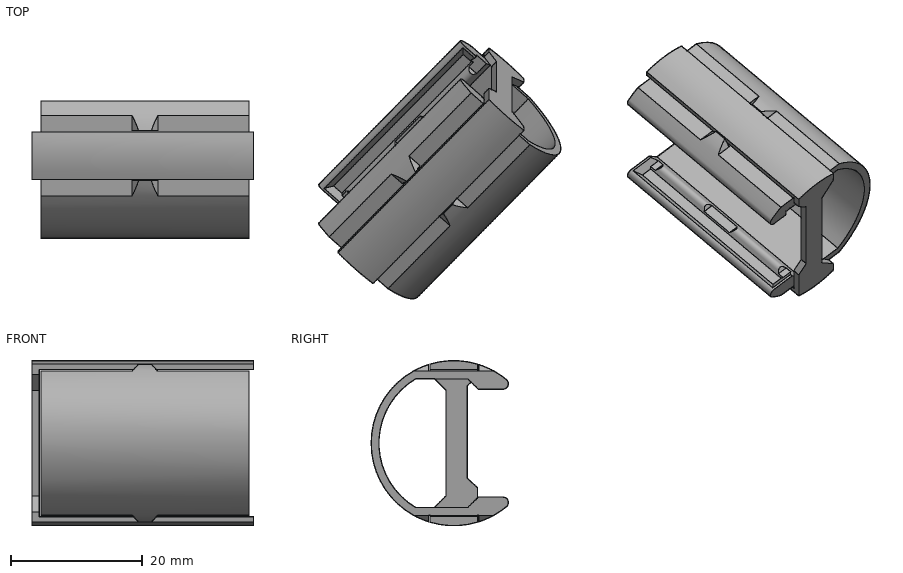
import cadquery as cq
import math

FRAME_LENGTH = 33.65
OUTER_RADIUS = 12.55

PLATE_THICKNESS = 1.1
RAIL_HALF_WIDTH = 3.65
RAIL_INNER_Z = 11.17
WEB_FRONT_Y = -1.18
WEB_BACK_Y = 2.1
FRONT_FLARE_Z = 8.0
UPPER_BACK_WEB_Z = 8.75
UPPER_BACK_RAIL_Z = 10.2
LOWER_BACK_WEB_Z = -5.35
LOWER_BACK_RAIL_Z = -6.75

SHELL_START_X = 1.35
SHELL_LENGTH = 31.63
SHELL_WALL = 1.2
FLAT_Z = 10.97
LIP_Z = 8.18
LIP_CORNER_Y = 3.75
LIP_TIP_RADIUS = 0.85

BLOCK_BASE_LENGTH = 3.95
BLOCK_INNER_Y = 3.8

GROOVE_DEPTH = 1.0
GROOVE_END_WALL = 0.37

RIDGE_ROUND = 0.8
GAP_DEPTH = 0.8
MIDDLE_GAP_FLOOR = 5.6
END_GAP_FLOOR = 1.0

NOTCH_BACK_Y = 5.0

SHELL_END_X = SHELL_START_X + SHELL_LENGTH
SHELL_MIDDLE_X = SHELL_START_X + SHELL_LENGTH / 2
INNER_RADIUS = OUTER_RADIUS - SHELL_WALL
INNER_FLAT_Z = FLAT_Z - SHELL_WALL
SLOPE_END_Y = LIP_CORNER_Y - (INNER_FLAT_Z - LIP_Z)
GROOVE_START_X = SHELL_START_X + GROOVE_END_WALL
GROOVE_END_X = SHELL_END_X - GROOVE_END_WALL
TIP_CENTRE_Z = LIP_Z + LIP_TIP_RADIUS
TIP_CENTRE_Y = math.sqrt((OUTER_RADIUS - LIP_TIP_RADIUS) ** 2 - TIP_CENTRE_Z ** 2)
CUT_MARGIN = 0.35


def across(radius, z):
    """Half width of a circle of the given radius at height z."""
    return math.sqrt(radius ** 2 - z ** 2)


def bar_along_x(outline, start_x, length):
    """Prism along X from a (Y, Z) outline."""
    return cq.Workplane("YZ", origin=(start_x, 0, 0)).polyline(outline).close().extrude(length)


def round_bar(start_x, length):
    """Solid cylinder with the common outer radius."""
    return cq.Workplane("YZ", origin=(start_x, 0, 0)).circle(OUTER_RADIUS).extrude(length)


def mirrored_in_z(body):
    return body.mirror("XY")


def make_frame():
    front_y = -RAIL_HALF_WIDTH
    back_y = RAIL_HALF_WIDTH
    front_flare_end_z = FRONT_FLARE_Z + (RAIL_HALF_WIDTH + WEB_FRONT_Y)
    plate = bar_along_x(
        [
            (front_y, OUTER_RADIUS),
            (front_y, front_flare_end_z),
            (WEB_FRONT_Y, FRONT_FLARE_Z),
            (WEB_FRONT_Y, -FRONT_FLARE_Z),
            (front_y, -front_flare_end_z),
            (front_y, -OUTER_RADIUS),
            (back_y, -OUTER_RADIUS),
            (back_y, LOWER_BACK_RAIL_Z),
            (WEB_BACK_Y, LOWER_BACK_WEB_Z),
            (WEB_BACK_Y, UPPER_BACK_WEB_Z),
            (back_y, UPPER_BACK_RAIL_Z),
            (back_y, OUTER_RADIUS),
        ],
        0,
        PLATE_THICKNESS,
    )
    rail = bar_along_x(
        [
            (front_y, RAIL_INNER_Z),
            (back_y, RAIL_INNER_Z),
            (back_y, OUTER_RADIUS),
            (front_y, OUTER_RADIUS),
        ],
        0,
        FRAME_LENGTH,
    )
    square_frame = plate.union(rail).union(mirrored_in_z(rail))
    return square_frame.intersect(round_bar(0, FRAME_LENGTH))


def make_sleeve():
    """Constant C-shaped section of the shell, still round where the rails will pass."""
    inner_y = across(INNER_RADIUS, INNER_FLAT_Z)
    tip_y = TIP_CENTRE_Y + LIP_TIP_RADIUS
    tip_scale = OUTER_RADIUS / (OUTER_RADIUS - LIP_TIP_RADIUS)
    tip_end_y = TIP_CENTRE_Y * tip_scale
    tip_end_z = TIP_CENTRE_Z * tip_scale
    return (
        cq.Workplane("YZ", origin=(SHELL_START_X, 0, 0))
        .moveTo(tip_end_y, -tip_end_z)
        .threePointArc((-OUTER_RADIUS, 0), (tip_end_y, tip_end_z))
        .threePointArc((tip_y, TIP_CENTRE_Z), (TIP_CENTRE_Y, LIP_Z))
        .lineTo(LIP_CORNER_Y, LIP_Z)
        .lineTo(SLOPE_END_Y, INNER_FLAT_Z)
        .lineTo(-inner_y, INNER_FLAT_Z)
        .threePointArc((-INNER_RADIUS, 0), (-inner_y, -INNER_FLAT_Z))
        .lineTo(SLOPE_END_Y, -INNER_FLAT_Z)
        .lineTo(LIP_CORNER_Y, -LIP_Z)
        .lineTo(TIP_CENTRE_Y, -LIP_Z)
        .threePointArc((tip_y, -TIP_CENTRE_Z), (tip_end_y, -tip_end_z))
        .close()
        .extrude(SHELL_LENGTH)
    )


def make_stop_block():
    """Upward tapering block with 45 degree ends, on the +Y side of the rail."""
    height = OUTER_RADIUS + CUT_MARGIN - FLAT_Z
    half_base = BLOCK_BASE_LENGTH / 2
    return (
        cq.Workplane("XZ", origin=(SHELL_MIDDLE_X, OUTER_RADIUS, 0))
        .moveTo(-half_base, FLAT_Z)
        .lineTo(half_base, FLAT_Z)
        .lineTo(half_base - height, FLAT_Z + height)
        .lineTo(height - half_base, FLAT_Z + height)
        .close()
        .extrude(OUTER_RADIUS - BLOCK_INNER_Y)
    )


def make_flat_cutter():
    """Cutter for the upper flat, which leaves the two stop blocks standing."""
    block = make_stop_block()
    slab = cq.Workplane("XY", origin=(SHELL_MIDDLE_X, 0, FLAT_Z)).box(
        SHELL_LENGTH + 2 * CUT_MARGIN,
        2 * OUTER_RADIUS,
        OUTER_RADIUS + CUT_MARGIN - FLAT_Z,
        centered=(True, True, False),
    )
    return slab.cut(block).cut(block.mirror("XZ"))


def make_groove():
    """Tapered cutter for the upper groove; its mouth lies in the lip face."""
    mouth_length = GROOVE_END_X - GROOVE_START_X
    mouth_width = TIP_CENTRE_Y - LIP_CORNER_Y
    centre = (SHELL_MIDDLE_X, (TIP_CENTRE_Y + LIP_CORNER_Y) / 2, LIP_Z)
    return (
        cq.Workplane("XY", origin=centre)
        .rect(mouth_length, mouth_width)
        .workplane(offset=GROOVE_DEPTH)
        .rect(mouth_length - 2 * GROOVE_DEPTH, mouth_width - 2 * GROOVE_DEPTH)
        .loft(ruled=True)
    )


def make_ridge_round():
    """Cutter that rounds the sharp edge between the groove wall and the lip slope."""
    leg = RIDGE_ROUND / math.sqrt(2)
    crest_z = LIP_Z + RIDGE_ROUND * (math.sqrt(2) - 1)
    return (
        cq.Workplane("YZ", origin=(GROOVE_START_X + GAP_DEPTH, 0, 0))
        .moveTo(LIP_CORNER_Y - leg, LIP_Z + leg)
        .threePointArc((LIP_CORNER_Y, crest_z), (LIP_CORNER_Y + leg, LIP_Z + leg))
        .lineTo(LIP_CORNER_Y, LIP_Z)
        .close()
        .extrude(GROOVE_END_X - GROOVE_START_X - 2 * GAP_DEPTH)
    )


def make_ridge_gap(middle_x, floor_length):
    """Cutter with 45 degree ends that removes the ridge over one stretch."""
    half_floor = floor_length / 2
    half_mouth = half_floor + GAP_DEPTH
    groove_wall_y = LIP_CORNER_Y + GAP_DEPTH
    return (
        cq.Workplane("XZ", origin=(middle_x, groove_wall_y, 0))
        .moveTo(-half_mouth, LIP_Z)
        .lineTo(half_mouth, LIP_Z)
        .lineTo(half_floor, LIP_Z + GAP_DEPTH)
        .lineTo(-half_floor, LIP_Z + GAP_DEPTH)
        .close()
        .extrude(groove_wall_y - SLOPE_END_Y)
    )


def make_ridge_gaps():
    """Gaps at both ends of the groove and in its middle."""
    end_gap_offset = (GROOVE_END_X - GROOVE_START_X) / 2 - GAP_DEPTH - END_GAP_FLOOR / 2
    gaps = make_ridge_gap(SHELL_MIDDLE_X, MIDDLE_GAP_FLOOR)
    for side in (-1, 1):
        gaps = gaps.union(make_ridge_gap(SHELL_MIDDLE_X + side * end_gap_offset, END_GAP_FLOOR))
    return gaps


def make_notch():
    """Square cutter through the -X end wall of the upper groove."""
    length = GROOVE_END_WALL + GAP_DEPTH
    bottom_z = LIP_Z - CUT_MARGIN
    return cq.Workplane("XY").box(
        length,
        NOTCH_BACK_Y - SLOPE_END_Y,
        LIP_Z + GAP_DEPTH - bottom_z,
        centered=False,
    ).translate((SHELL_START_X, SLOPE_END_Y, bottom_z))


def make_shell():
    shell = make_sleeve()
    for cutter in (make_flat_cutter(), make_groove(), make_ridge_round(), make_ridge_gaps()):
        shell = shell.cut(cutter).cut(mirrored_in_z(cutter))
    return shell.cut(make_notch())


frame = make_frame()
shell = make_shell()

result = cq.Compound.makeCompound([frame.solids().val(), shell.solids().val()])